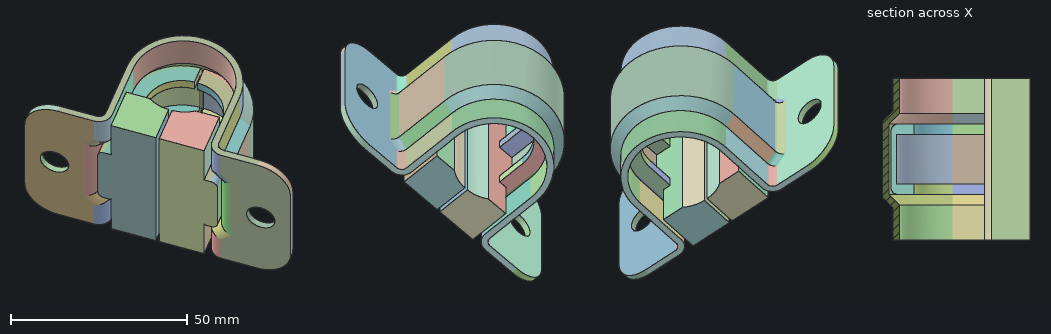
import cadquery as cq


overall_width = 80.0
overall_length = 46.0
sheet = 2.0
loop_inner_width = 30.0
loop_center_y = 22.0
bend_inner_radius = 2.0
corner_radius = 10.0
hole_diameter = 8.5
hole_spacing = 62.0

band_outer_width = 40.0
band_inner_length = 20.0

loop_inner_radius = loop_inner_width / 2
band_inner_radius = band_outer_width / 2 - sheet
band_rise = band_inner_radius - loop_inner_radius
bend_outer_radius = bend_inner_radius + sheet
slope_shift = 2 * sheet * (2 ** 0.5 - 1)
band_outer_length = band_inner_length + slope_shift

slit = sheet / 2
half_center_x = slit / 2
collar_edge_radius = 2.0
rod_diameter = 22.0
recess_radius = 16.0
recess_length = 14.0
base_width = 28.0
base_height = 13.0
collar_length = band_inner_length
collar_radius = band_inner_radius - half_center_x
rod_radius = rod_diameter / 2

half_length = overall_length / 2
pick_margin = 0.1


def loop_solid(end_radius, band_length, length):
    """Solid U along Z, standing on Y = 0, with its middle band swollen by band_rise."""
    band_radius = end_radius + band_rise
    band_z = band_length / 2
    slope_z = band_z + band_rise
    end_z = length / 2
    edge = [(end_radius, end_z), (end_radius, slope_z), (band_radius, band_z),
            (band_radius, -band_z), (end_radius, -slope_z), (end_radius, -end_z)]
    mirrored_edge = [(-x, z) for x, z in reversed(edge)]
    legs = cq.Workplane("XZ").polyline(edge + mirrored_edge).close().extrude(-loop_center_y)
    arch = (
        cq.Workplane("XZ", origin=(0, loop_center_y, 0))
        .polyline([(0, end_z)] + edge + [(0, -end_z)]).close()
        .revolve(360, (0, 0, 0), (0, 1, 0))
    )
    return legs.union(arch)


def half_prism(radius, length):
    """Plain U along Z for a clamp half: a round arch over straight legs that reach down to Y = 0."""
    left_x = half_center_x - radius
    right_x = half_center_x + radius
    return (
        cq.Workplane("XY", origin=(0, 0, -length / 2))
        .moveTo(left_x, 0)
        .lineTo(left_x, loop_center_y)
        .threePointArc((half_center_x, loop_center_y + radius), (right_x, loop_center_y))
        .lineTo(right_x, 0)
        .close().extrude(length)
    )


def box_from_mounting_plane(width, height, length):
    """Box standing on Y = 0, centred along X and Z."""
    return cq.Workplane("XY").box(width, height, length, centered=(True, False, True))


def bend_edges(height):
    """Selector for the edges between the loop walls and a flange face at this height above Y = 0."""
    reach_x = band_inner_radius + bend_outer_radius
    reach_z = half_length - pick_margin
    return cq.selectors.BoxSelector(
        (-reach_x, height - pick_margin, -reach_z), (reach_x, height + pick_margin, reach_z))


def build_strap():
    flanges = (
        box_from_mounting_plane(overall_width, sheet, overall_length)
        .edges("|Y").fillet(corner_radius)
    )
    outer_loop = loop_solid(loop_inner_radius + sheet, band_outer_length, overall_length)
    inner_loop = loop_solid(loop_inner_radius, band_inner_length, overall_length)
    outside = flanges.union(outer_loop)
    outside = outside.edges(bend_edges(sheet)).fillet(bend_inner_radius)
    strap = outside.cut(inner_loop)
    strap = strap.edges(bend_edges(0)).fillet(bend_outer_radius)
    holes = (
        cq.Workplane("XZ").pushPoints([(-hole_spacing / 2, 0), (hole_spacing / 2, 0)])
        .circle(hole_diameter / 2).extrude(-sheet)
    )
    return strap.cut(holes)


def build_clamp_half():
    """The half on the +X side of the slit."""
    collar = (
        half_prism(collar_radius, collar_length)
        .faces("<Z or >Z").edges("not <Y").fillet(collar_edge_radius)
        .cut(half_prism(rod_radius, collar_length))
        .cut(half_prism(recess_radius, recess_length))
    )
    foot = (
        box_from_mounting_plane(2 * band_inner_radius, base_height, collar_length)
        .edges("|Y").fillet(collar_edge_radius)
    )
    base = box_from_mounting_plane(base_width, base_height, overall_length)
    rod_bore = (
        cq.Workplane("XY", origin=(half_center_x, loop_center_y, 0))
        .circle(rod_radius).extrude(half_length, both=True)
    )
    right_of_slit = (
        cq.Workplane("XY", origin=(half_center_x, 0, 0))
        .box(overall_width, overall_width, overall_length, centered=(False, True, True))
    )
    return collar.union(foot).union(base).cut(rod_bore).intersect(right_of_slit)


strap = build_strap()
right_half = build_clamp_half()
left_half = right_half.mirror("YZ")

result = cq.Compound.makeCompound([strap.val(), right_half.val(), left_half.val()])